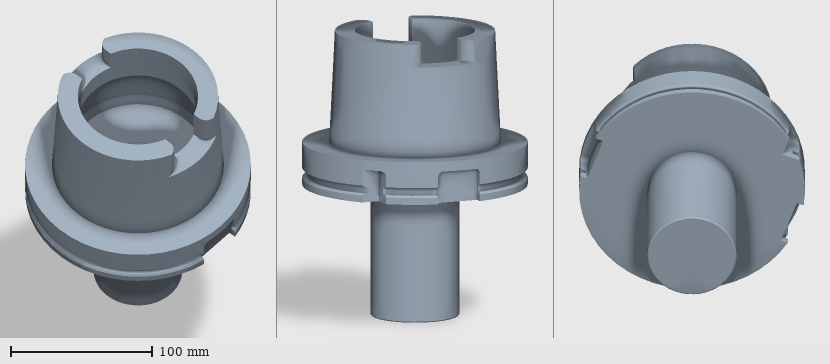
import cadquery as cq

total_height = 205.0
flange_bottom = 94.0
flange_top = 124.8
socket_floor = 132.2
lip_bottom = 173.3

flange_radius = 80.0
shank_radius = 63.0 / 2
shank_chamfer = 0.8
cone_base_radius = 60.9
cone_tip_radius = 56.8
mouth_diameter = 85.0
undercut_diameter = 100.2
floor_bevel_height = 8.2
floor_bevel_width = 2.0

groove_radius = 76.0
groove_bottom = 99.0
groove_top = 106.1
groove_bevel_width = 1.6
groove_bevel_height = 1.5
groove_bottom_bevel_width = 1.2

slot_half_width = 15.0
slot_lip_radius = 7.5
slot_outer_x = 52.2
left_slot_floor = 188.7
right_slot_floor = 181.3

pocket_width = 32.4
pocket_top = 117.6
pocket_corner_radius = 3.9
pocket_floor_x = 73.0
notch_inner_y = 49.5
notch_floor_x = 50.0

pin_diameter = 20.0
pin_height = 6.1
pin_tip_diameter = 18.9
pin_tip_height = 2.0
pin_chamfer = 1.5


def turned_body():
    """Shank, grooved flange and taper as one revolved profile."""
    groove_floor_top = groove_top - groove_bevel_height
    groove_floor_bottom = groove_bottom + groove_bevel_height
    profile = [
        (0, 0),
        (shank_radius - shank_chamfer, 0),
        (shank_radius, shank_chamfer),
        (shank_radius, flange_bottom),
        (flange_radius, flange_bottom),
        (flange_radius, groove_bottom),
        (flange_radius - groove_bottom_bevel_width, groove_floor_bottom),
        (groove_radius, groove_floor_bottom),
        (groove_radius, groove_floor_top),
        (flange_radius - groove_bevel_width, groove_floor_top),
        (flange_radius, groove_top),
        (flange_radius, flange_top),
        (cone_base_radius, flange_top),
        (cone_tip_radius, total_height),
        (0, total_height),
    ]
    return cq.Workplane("XZ").polyline(profile).close().revolve(360, (0, 0, 0), (0, 1, 0))


def disc(diameter, bottom, top):
    return cq.Workplane("XY").workplane(offset=bottom).circle(diameter / 2).extrude(top - bottom)


def socket():
    """Clamping socket: narrow mouth above a wider undercut with a bevelled floor edge."""
    mouth = disc(mouth_diameter, socket_floor, total_height)
    undercut = disc(undercut_diameter, socket_floor, lip_bottom)
    undercut = undercut.faces("<Z").chamfer(floor_bevel_height, floor_bevel_width)
    return mouth.union(undercut)


def drive_slot(side, floor):
    """Slot cutter on side -1 or +1 of X, flaring outwards around rounded lips."""
    flare_y = slot_half_width + slot_lip_radius
    lip_x = slot_outer_x - slot_lip_radius
    diagonal = slot_lip_radius * 0.5 ** 0.5
    mid_x = lip_x + diagonal
    mid_y = flare_y - diagonal
    outline = (
        cq.Workplane("XY").workplane(offset=floor)
        .moveTo(0, -slot_half_width)
        .lineTo(side * lip_x, -slot_half_width)
        .threePointArc((side * mid_x, -mid_y), (side * slot_outer_x, -flare_y))
        .lineTo(side * slot_outer_x, -flange_radius)
        .lineTo(side * flange_radius, -flange_radius)
        .lineTo(side * flange_radius, flange_radius)
        .lineTo(side * slot_outer_x, flange_radius)
        .lineTo(side * slot_outer_x, flare_y)
        .threePointArc((side * mid_x, mid_y), (side * lip_x, slot_half_width))
        .lineTo(0, slot_half_width)
        .close()
    )
    return outline.extrude(total_height - floor)


def rim_pocket(side, floor_x, y_min, y_max):
    """Pocket cutter milled along X, open at the flange bottom, with rounded top corners."""
    depth = flange_radius - floor_x
    height = pocket_top - flange_bottom
    return (
        cq.Workplane("XY")
        .box(depth, y_max - y_min, height)
        .edges("|X and >Z").fillet(pocket_corner_radius)
        .translate((
            side * (floor_x + depth / 2),
            (y_min + y_max) / 2,
            flange_bottom + height / 2,
        ))
    )


body = turned_body().cut(socket())
body = body.cut(drive_slot(-1, left_slot_floor))
body = body.cut(drive_slot(1, right_slot_floor))
for pocket_side in (-1, 1):
    body = body.cut(rim_pocket(pocket_side, pocket_floor_x, -pocket_width / 2, pocket_width / 2))
body = body.cut(rim_pocket(-1, notch_floor_x, notch_inner_y, flange_radius))

pin_shoulder = socket_floor + pin_height
pin = disc(pin_diameter, socket_floor, pin_shoulder)
pin_tip = disc(pin_tip_diameter, pin_shoulder, pin_shoulder + pin_tip_height).faces(">Z").chamfer(pin_chamfer)
result = body.union(pin.union(pin_tip))